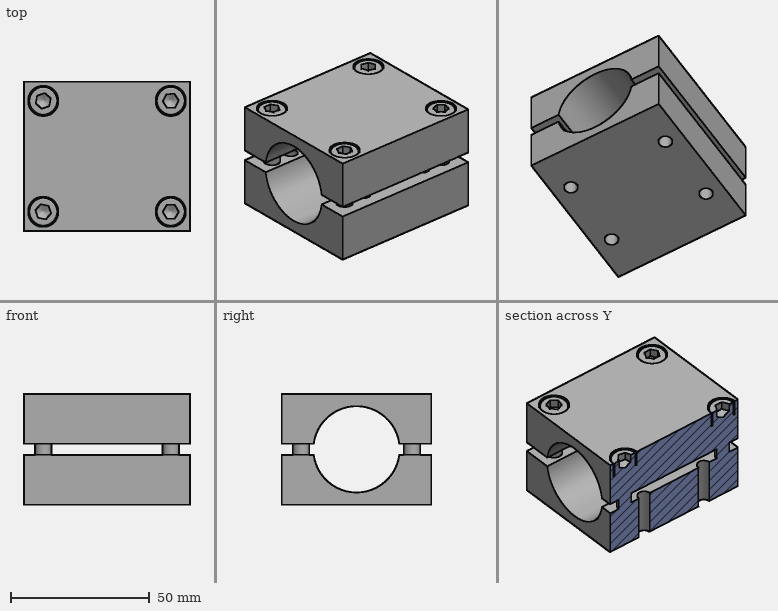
import cadquery as cq
import math

length = 60
width = 54
height = 40.0
gap = 4.0
bore_diameter = 31.1

screw_spacing_x = 46.0
screw_spacing_y = 40.0
shank_diameter = 6
head_diameter = 10.0
head_height = 6
head_fillet = 0.6
counterbore_diameter = 11.0

socket_across_flats = 5.0
socket_depth = 3.0
socket_cone_angle = 120

mount_diameter = 5.0
mount_spacing_x = 28.0
mount_spacing_y = screw_spacing_y

screws = [(-1, 1, 19), (1, 1, 3), (-1, -1, -11), (1, -1, 0)]

top = height / 2


def clamp_halves():
    block = cq.Workplane("XY").box(length, width, height)
    split = cq.Workplane("XY").box(length, width, gap)
    bore_end = cq.Workplane("YZ").workplane(offset=-length / 2)
    bore = bore_end.circle(bore_diameter / 2).extrude(length)
    return block.cut(split).cut(bore)


def mounting_holes():
    return (
        cq.Workplane("XY").workplane(offset=-height / 2)
        .rarray(mount_spacing_x, mount_spacing_y, 2, 2)
        .circle(mount_diameter / 2).extrude((height - gap) / 2)
    )


def counterbore():
    floor = cq.Workplane("XY").workplane(offset=top - head_height)
    return floor.circle(counterbore_diameter / 2).extrude(head_height)


def hex_socket(angle):
    corner_diameter = socket_across_flats / math.cos(math.pi / 6)
    radius = corner_diameter / 2
    cone_depth = radius / math.tan(math.radians(socket_cone_angle / 2))
    total_depth = socket_depth + cone_depth
    prism = (
        cq.Workplane("XY").workplane(offset=top)
        .polygon(6, corner_diameter).extrude(-total_depth)
        .rotate((0, 0, 0), (0, 0, 1), angle)
    )
    envelope = (
        cq.Workplane("XZ")
        .moveTo(0, top)
        .lineTo(head_diameter / 2, top)
        .lineTo(head_diameter / 2, top - total_depth + cone_depth * head_diameter / corner_diameter)
        .lineTo(0, top - total_depth)
        .close()
        .revolve(360, (0, 0, 0), (0, 1, 0))
    )
    return prism.intersect(envelope)


def screw(angle):
    head = (
        cq.Workplane("XY").workplane(offset=top - head_height)
        .circle(head_diameter / 2).extrude(head_height)
        .faces(">Z").edges().fillet(head_fillet)
    )
    shank_length = height - 2 * head_height
    shank_end = cq.Workplane("XY").workplane(offset=-shank_length / 2)
    shank = shank_end.circle(shank_diameter / 2).extrude(shank_length)
    return head.union(shank).cut(hex_socket(angle))


result = clamp_halves().cut(mounting_holes())
for side_x, side_y, socket_angle in screws:
    place = (side_x * screw_spacing_x / 2, side_y * screw_spacing_y / 2, 0)
    result = result.cut(counterbore().translate(place))
    result = result.union(screw(socket_angle).translate(place))